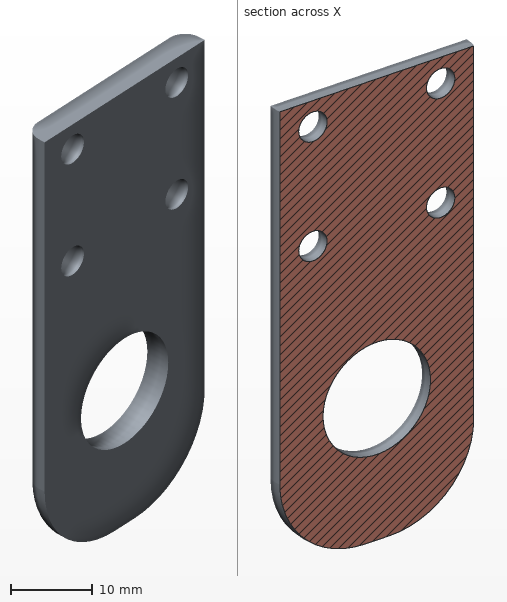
import cadquery as cq

length = 65.8
width = 29.2
thickness = 3.5
corner_radius = 12.8
edge_radius = 2.55

opening_diameter = 15.9
opening_height = 20.35

mount_diameter = 4.15
mount_spacing_y = 19.0
mount_spacing_z = 17.0
mount_top_margin = 3.75


def make_plate():
    """Plate with two rounded bottom corners and a rounded outer rim on the -X face."""
    plate = cq.Workplane("XY").box(thickness, width, length, centered=(True, True, False))
    plate = plate.edges("|X and <Z").fillet(corner_radius)
    rim = plate.faces("<X").edges("not >Z")
    return rim.fillet(edge_radius)


def through_holes(centres, diameter):
    """Cylinders along X, passing through the plate at the given (Y, Z) centres."""
    sketch = cq.Workplane("YZ").pushPoints(centres).circle(diameter / 2)
    return sketch.extrude(thickness, both=True)


mount_top = length - mount_top_margin
mount_centres = [
    (side * mount_spacing_y / 2, height)
    for side in (-1, 1)
    for height in (mount_top, mount_top - mount_spacing_z)
]

result = (
    make_plate()
    .cut(through_holes([(0, opening_height)], opening_diameter))
    .cut(through_holes(mount_centres, mount_diameter))
)